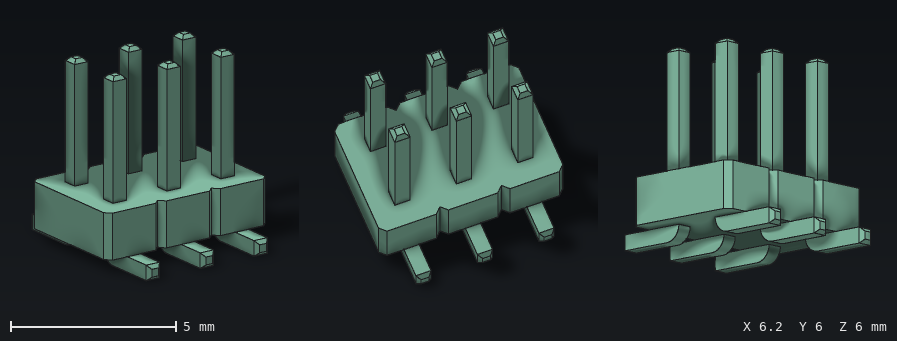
import cadquery as cq

foot_span = 6.2
height = 6.0
housing_y = 6.0

columns = 3
pitch = housing_y / columns
pin_x = pitch / 2
column_places = [(i - (columns - 1) / 2) * pitch for i in range(columns)]

pin_width = pitch / 4
tip_chamfer = 0.125

housing_x = 2 * pitch
housing_height = 0.75 * pitch
housing_bottom = pin_width
corner_cut = 0.2


def housing_cell():
    """Block for one pair of pins; its cut corners form the V notches between cells."""
    return (
        cq.Workplane("XY", origin=(0, 0, housing_bottom))
        .box(housing_x, pitch, housing_height, centered=(True, True, False))
        .edges("|Z")
        .chamfer(corner_cut)
    )


def pin():
    """Bent pin of the +X row: upright post, rounded heel and foot pointing to +X."""
    heel_x = pin_x - pin_width / 2
    foot = (
        cq.Workplane("XZ")
        .moveTo(heel_x, pin_width)
        .radiusArc((heel_x + pin_width, 0), -pin_width)
        .lineTo(foot_span / 2, 0)
        .lineTo(foot_span / 2, pin_width)
        .close()
        .extrude(pin_width / 2, both=True)
        .faces(">X")
        .chamfer(tip_chamfer)
    )
    post = (
        cq.Workplane("XY", origin=(pin_x, 0, housing_bottom))
        .box(pin_width, pin_width, height - housing_bottom, centered=(True, True, False))
        .faces(">Z")
        .chamfer(tip_chamfer)
    )
    return foot.union(post)


right_pin = pin()
left_pin = right_pin.mirror("YZ")
cell = housing_cell().union(right_pin).union(left_pin)

result = cq.Workplane("XY")
for column_y in column_places:
    result = result.add(cell.translate((0, column_y, 0)))
result = result.combine(clean=True)